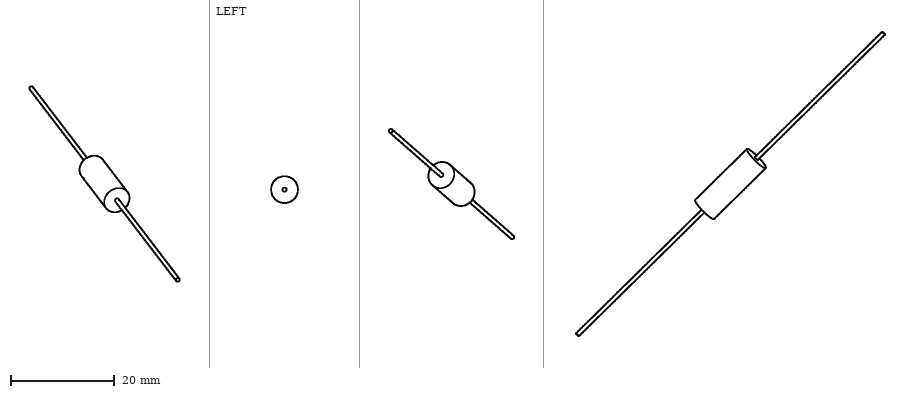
import cadquery as cq

total_length = 84.1
body_length = 14.2
body_diameter = 5.2
lead_diameter = 0.81

lead_length = (total_length - body_length) / 2


def make_body():
    """Solid cylindrical body of the axial component."""
    return (
        cq.Workplane("YZ", origin=(-body_length / 2, 0, 0))
        .circle(body_diameter / 2)
        .extrude(body_length)
    )


def make_lead(side):
    """Straight wire lead running outward from one body end face; side is -1 or +1."""
    return (
        cq.Workplane("YZ", origin=(side * body_length / 2, 0, 0))
        .circle(lead_diameter / 2)
        .extrude(side * lead_length)
    )


body = make_body()
leads = [make_lead(side) for side in (-1, 1)]

result = cq.Compound.makeCompound([body.val(), *[lead.val() for lead in leads]])